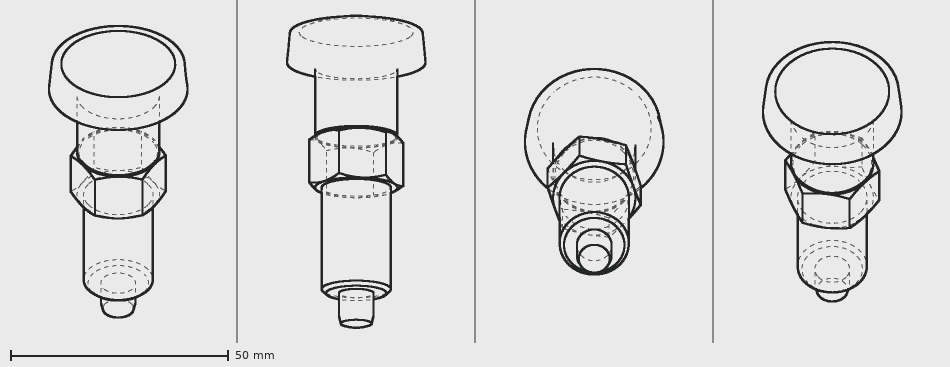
import cadquery as cq
import math

pin_radius = 8 / 2
pin_tip_radius = 7.15 / 2
pin_tip_dome_height = 0.7
pin_nose_height = 2.55

body_radius = 16.0 / 2
body_bottom = 7.95
body_chamfer_width = 1.0
body_chamfer_height = 0.95

hex_across_flats = 19
hex_across_corners = hex_across_flats / math.cos(math.radians(30))
hex_bottom = 33.1
hex_height = 11.8
hex_top = hex_bottom + hex_height
hex_chamfer_angle = 30

sleeve_radius = hex_across_flats / 2
sleeve_chamfer = 0.45

total_height = 73
knob_radius = 32.05 / 2
knob_top_radius = 15.3
knob_top = 70.0
knob_bottom = 61.4
knob_rim_bottom = 62.7
knob_edge_fillet = 0.3
cap_radius = 13.15
neck_fillet = 0.4


def revolve_profile(profile):
    """Turn a closed radius-height profile around the Z axis."""
    return profile.close().revolve(360, (0, 0, 0), (0, 1, 0))


def dome_point(base_radius, base_z, peak_z):
    """Point halfway in angle along the arc from a dome's base edge to its peak."""
    rise = peak_z - base_z
    sphere_radius = (base_radius**2 + rise**2) / (2 * abs(rise))
    half_angle = math.asin(base_radius / sphere_radius) / 2
    drop = math.copysign(sphere_radius * (1 - math.cos(half_angle)), rise)
    return sphere_radius * math.sin(half_angle), peak_z - drop


def make_pin():
    tip_mid = dome_point(pin_tip_radius, pin_tip_dome_height, 0)
    return revolve_profile(
        cq.Workplane("XZ")
        .threePointArc(tip_mid, (pin_tip_radius, pin_tip_dome_height))
        .lineTo(pin_radius, pin_nose_height)
        .lineTo(pin_radius, hex_bottom)
        .lineTo(0, hex_bottom)
    )


def make_body():
    return revolve_profile(
        cq.Workplane("XZ")
        .moveTo(0, body_bottom)
        .lineTo(body_radius - body_chamfer_width, body_bottom)
        .lineTo(body_radius, body_bottom + body_chamfer_height)
        .lineTo(body_radius, hex_top)
        .lineTo(0, hex_top)
    )


def make_hex_collar():
    hexagon = (
        cq.Workplane("XY")
        .workplane(offset=hex_bottom)
        .polygon(6, hex_across_corners)
        .extrude(hex_height)
        .rotate((0, 0, 0), (0, 0, 1), 30)
    )
    corner_radius = hex_across_corners / 2
    chamfer_width = corner_radius - hex_across_flats / 2
    chamfer_height = chamfer_width * math.tan(math.radians(hex_chamfer_angle))
    trimming_disc = (
        cq.Workplane("XY")
        .workplane(offset=hex_bottom)
        .circle(corner_radius)
        .extrude(hex_height)
        .edges("%CIRCLE")
        .chamfer(chamfer_height, chamfer_width)
    )
    return hexagon.intersect(trimming_disc)


def make_sleeve():
    return (
        cq.Workplane("XY")
        .workplane(offset=hex_top)
        .circle(sleeve_radius)
        .extrude(knob_rim_bottom - hex_top)
        .faces("<Z")
        .edges()
        .chamfer(sleeve_chamfer)
    )


def make_knob():
    grip = revolve_profile(
        cq.Workplane("XZ")
        .moveTo(0, knob_bottom)
        .lineTo(sleeve_radius, knob_bottom)
        .lineTo(knob_radius, knob_rim_bottom)
        .lineTo(knob_top_radius, knob_top)
        .lineTo(0, knob_top)
    )
    rim_edges = cq.selectors.RadiusNthSelector(-1)
    grip = grip.edges(rim_edges).fillet(knob_edge_fillet)
    grip = grip.faces(">Z").edges().fillet(knob_edge_fillet)
    cap_mid = dome_point(cap_radius, knob_top, total_height)
    cap = revolve_profile(
        cq.Workplane("XZ")
        .moveTo(0, knob_top)
        .lineTo(cap_radius, knob_top)
        .threePointArc(cap_mid, (0, total_height))
    )
    return grip.union(cap)


def make_handle():
    """Knob and sleeve joined with a small fillet at the neck."""
    neck_margin = 0.1
    neck_edge = cq.selectors.BoxSelector(
        (-knob_radius, -knob_radius, knob_bottom - neck_margin),
        (knob_radius, knob_radius, knob_bottom + neck_margin),
    )
    handle = make_sleeve().union(make_knob())
    return handle.edges("%CIRCLE").edges(neck_edge).fillet(neck_fillet)


result = (
    make_body()
    .union(make_pin())
    .union(make_hex_collar())
    .union(make_handle())
)